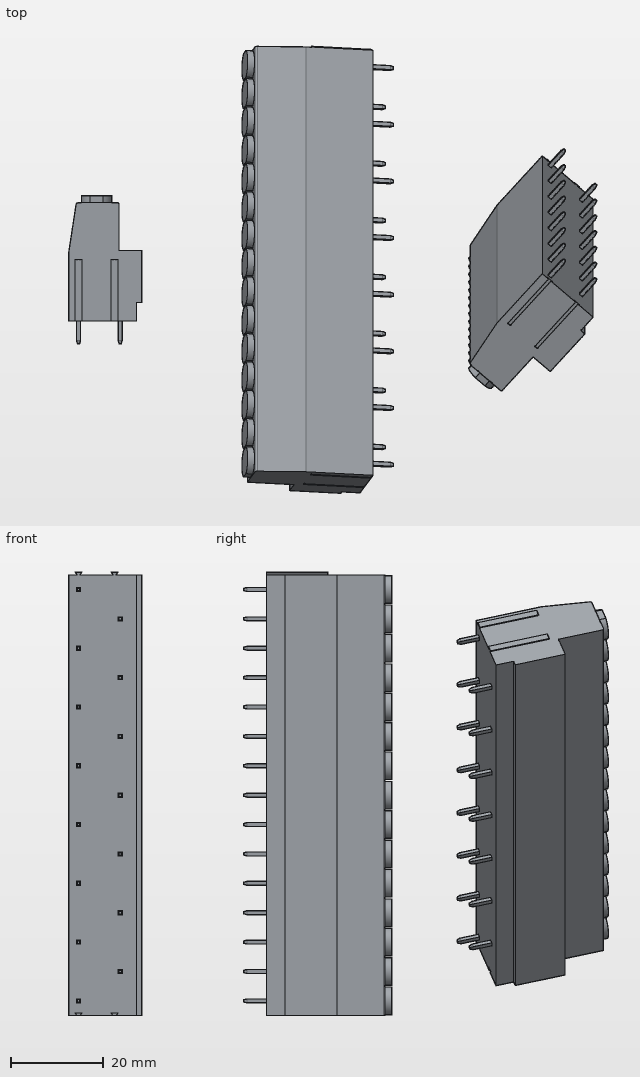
import cadquery as cq

pole_count = 15
pole_pitch = 6.35
block_height = pole_count * pole_pitch

housing_width = 15.85
foot_width = 14.7
foot_height = 4.0
shelf_height = 15.3
tower_right = 10.9
tower_height = 25.6
slope_start = 14.8
tower_left = 1.65
tower_left_radius = 0.5
tower_right_radius = 0.3

screw_x = 6.05
screw_radius = 3.3
screw_flat_spacing = 6.0
screw_height = 1.5

pin_x = 2.15
pin_row_spacing = 9.0
pin_size = 0.9
pin_tip_size = 0.5
pin_tip_length = 0.7
pin_length = 4.9

rib_spacing = 7.8
rib_length = 13.3
rib_height = 0.6
rib_outer_width = 1.5
rib_root_width = 0.7


def make_housing():
    outline = [
        (0, 0),
        (foot_width, 0),
        (foot_width, foot_height),
        (housing_width, foot_height),
        (housing_width, shelf_height),
        (tower_right, shelf_height),
        (tower_right, tower_height),
        (tower_left, tower_height),
        (0, slope_start),
    ]
    housing = cq.Workplane("XY").polyline(outline).close().extrude(block_height)
    housing = housing.edges("|Z").edges(">Y").edges("<X").fillet(tower_left_radius)
    tower_right_edge = cq.selectors.NearestToPointSelector((tower_right, tower_height, block_height / 2))
    return housing.edges("|Z").edges(tower_right_edge).fillet(tower_right_radius)


def make_dovetail(x, z):
    half_root = rib_root_width / 2
    half_outer = rib_outer_width / 2
    profile = [
        (x - half_root, z),
        (x + half_root, z),
        (x + half_outer, z + rib_height),
        (x - half_outer, z + rib_height),
    ]
    return cq.Workplane("XZ").polyline(profile).close().extrude(-rib_length)


def make_screw(z):
    disc = cq.Workplane("XZ", origin=(screw_x, tower_height, z)).circle(screw_radius).extrude(-screw_height)
    between_flats = (
        cq.Workplane("XZ", origin=(screw_x, tower_height, z))
        .rect(2 * screw_radius, screw_flat_spacing)
        .extrude(-screw_height)
    )
    return disc.intersect(between_flats)


def make_pin(x, z):
    straight_length = pin_length - pin_tip_length
    straight = cq.Workplane("XZ", origin=(x, 0, z)).rect(pin_size, pin_size).extrude(straight_length)
    tip = (
        cq.Workplane("XZ", origin=(x, -straight_length, z))
        .rect(pin_size, pin_size)
        .workplane(offset=pin_tip_length)
        .rect(pin_tip_size, pin_tip_size)
        .loft()
    )
    return straight.union(tip)


result = make_housing()

for x in (pin_x, pin_x + rib_spacing):
    result = result.cut(make_dovetail(x, 0))
    result = result.union(make_dovetail(x, block_height))

for pole in range(pole_count):
    z = (pole + 0.5) * pole_pitch
    row = pole % 2
    result = result.union(make_screw(z))
    result = result.union(make_pin(pin_x + row * pin_row_spacing, z))